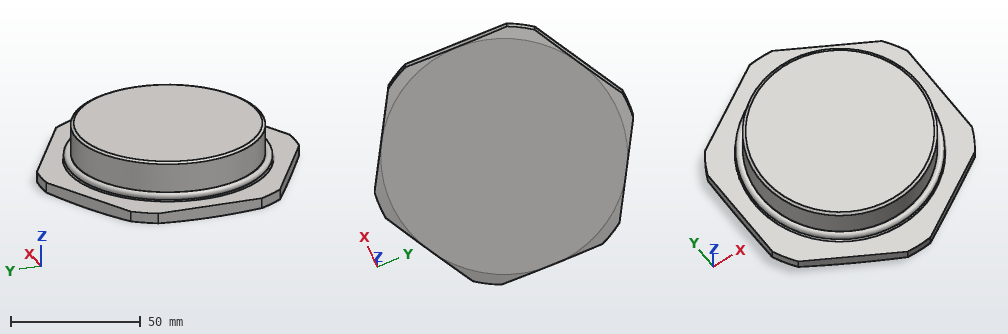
import cadquery as cq
import math

across_flats = 95.0
corner_diameter = 104.0
flange_thickness = 5.0
underside_bevel_angle = 10.0

plug_diameter = 75.0
total_height = 20.0
plug_bevel_width = 1.2
plug_bevel_angle = 30.0

groove_inner_diameter = 73.0
groove_outer_diameter = 81.0
groove_depth = 2.5
undercut_height = 2.5
groove_edge_radius = 0.2

ring_inner_diameter = 74.5
ring_section_diameter = 3.0


def revolve_about_z(profile):
    """Turn a closed profile, drawn as radius and height, into a round solid."""
    return profile.revolve(360, (0, 0, 0), (0, 1, 0))


def make_flange():
    """Hexagon with flats facing +X and -X, its corners trimmed round and bevelled underneath."""
    hexagon_diameter = across_flats / math.cos(math.pi / 6)
    hexagon = (
        cq.Workplane("XY")
        .transformed(rotate=(0, 0, 30))
        .polygon(6, hexagon_diameter)
        .extrude(flange_thickness)
    )
    flat_radius = across_flats / 2
    corner_radius = corner_diameter / 2
    bevel_height = (corner_radius - flat_radius) * math.tan(math.radians(underside_bevel_angle))
    turned_blank = revolve_about_z(
        cq.Workplane("XZ")
        .lineTo(flat_radius, 0)
        .lineTo(corner_radius, bevel_height)
        .lineTo(corner_radius, flange_thickness)
        .lineTo(0, flange_thickness)
        .close()
    )
    return hexagon.intersect(turned_blank)


def make_plug():
    """Solid cylinder with a shallow bevel around its top face."""
    plug_radius = plug_diameter / 2
    bevel_height = plug_bevel_width * math.tan(math.radians(plug_bevel_angle))
    return revolve_about_z(
        cq.Workplane("XZ")
        .moveTo(0, flange_thickness)
        .lineTo(plug_radius, flange_thickness)
        .lineTo(plug_radius, total_height - bevel_height)
        .lineTo(plug_radius - plug_bevel_width, total_height)
        .lineTo(0, total_height)
        .close()
    )


def make_groove():
    """Round cutter for the groove: rounded floor corners, rounded outer lip, undercut on the inside."""
    inner_radius = groove_inner_diameter / 2
    outer_radius = groove_outer_diameter / 2
    lip_radius = outer_radius + groove_edge_radius
    floor_height = flange_thickness - groove_depth
    wall_start = floor_height + groove_edge_radius
    wall_end = flange_thickness - groove_edge_radius
    undercut_top = flange_thickness + undercut_height
    return revolve_about_z(
        cq.Workplane("XZ")
        .moveTo(inner_radius, wall_start)
        .radiusArc((inner_radius + groove_edge_radius, floor_height), -groove_edge_radius)
        .lineTo(outer_radius - groove_edge_radius, floor_height)
        .radiusArc((outer_radius, wall_start), -groove_edge_radius)
        .lineTo(outer_radius, wall_end)
        .radiusArc((lip_radius, flange_thickness), groove_edge_radius)
        .lineTo(plug_diameter / 2, flange_thickness)
        .lineTo(plug_diameter / 2, undercut_top)
        .lineTo(inner_radius, undercut_top)
        .close()
    )


def make_cap():
    """Flange and plug as one solid, with the groove cut around the plug."""
    return make_flange().union(make_plug()).cut(make_groove())


def make_sealing_ring():
    """Ring of round section around the plug, its lowest point level with the flange top."""
    section_radius = ring_section_diameter / 2
    centre_radius = ring_inner_diameter / 2 + section_radius
    centre_height = flange_thickness + section_radius
    return revolve_about_z(
        cq.Workplane("XZ")
        .moveTo(centre_radius, centre_height)
        .circle(section_radius)
    )


cap = make_cap().solids()
sealing_ring = make_sealing_ring()

result = cq.Compound.makeCompound([cap.val(), sealing_ring.val()])